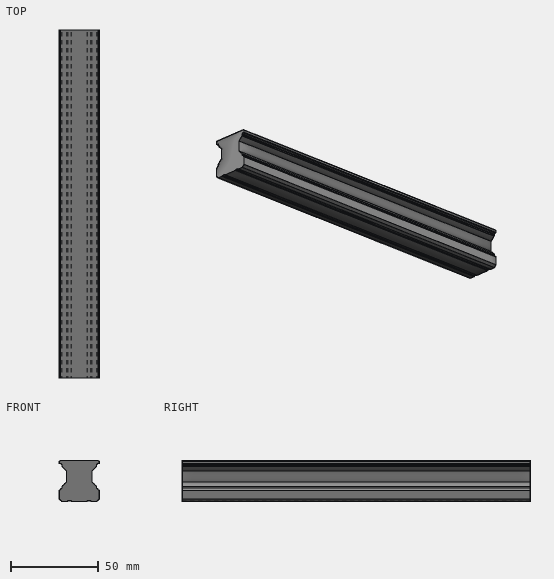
import cadquery as cq

length = 200.0
width = 23.0
height = 23.5
half_width = width / 2

neck_half_width = 7.5
neck_bottom = 11.2
neck_top = 17.5

foot_chamfer = 1.5
foot_step_half_width = 10.0
foot_step_bottom = 7.8
foot_step_top = neck_bottom - (foot_step_half_width - neck_half_width)
foot_side_top = foot_step_bottom - (half_width - foot_step_half_width)

head_flank_half_width = 9.8
head_flank_top = neck_top + (head_flank_half_width - neck_half_width)
head_step_half_width = 10.0
head_step_bottom = 20.5
head_step_top = 21.2
lip_underside = 21.8
lip_corner = lip_underside - head_step_top
head_chamfer = 0.5

groove_offset = 5.5
groove_mouth = 2.5
groove_depth = 0.5
groove_floor = groove_mouth - 2 * groove_depth

cap_diameter = 11.0
cap_depth = 2.0
cap_pitch = 30.0
cap_count = 7


def make_rail():
    """Extrude the symmetric rail profile along Y, centred on the origin."""
    right_side = [
        (half_width - foot_chamfer, 0),
        (half_width, foot_chamfer),
        (half_width, foot_side_top),
        (foot_step_half_width, foot_step_bottom),
        (foot_step_half_width, foot_step_top),
        (neck_half_width, neck_bottom),
        (neck_half_width, neck_top),
        (head_flank_half_width, head_flank_top),
        (head_step_half_width, head_step_bottom),
        (head_step_half_width, head_step_top),
        (head_step_half_width + lip_corner, lip_underside),
        (half_width, lip_underside),
        (half_width, height - head_chamfer),
        (half_width - head_chamfer, height),
    ]
    left_side = [(-x, z) for x, z in reversed(right_side)]
    profile = cq.Workplane("XZ").polyline(right_side + left_side).close()
    return profile.extrude(length / 2, both=True)


def make_groove(centre_x):
    """Trapezoidal groove running the full length of the underside."""
    outline = [
        (centre_x - groove_mouth / 2, 0),
        (centre_x + groove_mouth / 2, 0),
        (centre_x + groove_floor / 2, groove_depth),
        (centre_x - groove_floor / 2, groove_depth),
    ]
    return cq.Workplane("XZ").polyline(outline).close().extrude(length / 2, both=True)


def make_caps():
    """A row of discs whose upper faces lie in the rail's top face."""
    return (
        cq.Workplane("XY", origin=(0, 0, height - cap_depth))
        .rarray(2, cap_pitch, 1, cap_count)
        .circle(cap_diameter / 2)
        .extrude(cap_depth)
    )


rail = make_rail()
for side in (-1, 1):
    rail = rail.cut(make_groove(side * groove_offset))

caps = make_caps()
result = rail.cut(caps).union(caps, clean=False)